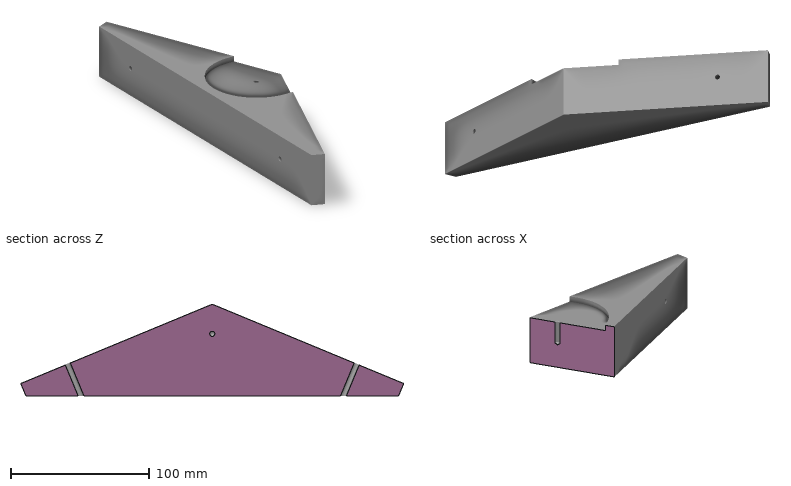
import cadquery as cq
import math

length = 277.2
depth = 66.5
height = 40.0

rear_angle = 22.5
slope = math.tan(math.radians(rear_angle))
half_length = length / 2
end_depth = depth - half_length * slope
front_half_length = half_length - end_depth * slope

recess_radius = 37.5
recess_center_y = 45.0
recess_depth = 4.2

pivot_diameter = 3.3
pivot_rim_diameter = 4.5
pivot_depth = 16.5
drill_tip_angle = 118.0
cross_diameter = 3.5
cross_front_x = 94.8
cross_z = 21.5


def make_body():
    outline = [
        (-front_half_length, 0),
        (front_half_length, 0),
        (half_length, end_depth),
        (0, depth),
        (-half_length, end_depth),
    ]
    return cq.Workplane("XY").polyline(outline).close().extrude(height)


def make_recess():
    return (
        cq.Workplane("XY", origin=(0, 0, height - recess_depth))
        .moveTo(-recess_radius, depth)
        .lineTo(-recess_radius, recess_center_y)
        .threePointArc((0, recess_center_y - recess_radius), (recess_radius, recess_center_y))
        .lineTo(recess_radius, depth)
        .close()
        .extrude(recess_depth)
    )


def make_pivot_hole():
    """Blind drilled hole in the recess floor, with a 45 degree bevelled rim and a conical tip."""
    radius = pivot_diameter / 2
    rim_radius = pivot_rim_diameter / 2
    tip_length = radius / math.tan(math.radians(drill_tip_angle / 2))
    half_section = [
        (0, 0),
        (rim_radius, 0),
        (radius, radius - rim_radius),
        (radius, -pivot_depth),
        (0, -pivot_depth - tip_length),
    ]
    return (
        cq.Workplane("XZ", origin=(0, recess_center_y, height - recess_depth))
        .polyline(half_section)
        .close()
        .revolve(360, (0, 0), (0, 1))
    )


def make_cross_hole(side):
    """Through hole square to the rear face on one side (-1 or 1)."""
    angle = math.radians(rear_angle)
    axis = cq.Vector(side * math.sin(angle), math.cos(angle), 0)
    front_point = cq.Vector(side * cross_front_x, 0, cross_z)
    start = front_point - axis * depth
    return cq.Solid.makeCylinder(cross_diameter / 2, 2 * depth, start, axis)


result = make_body().cut(make_recess()).cut(make_pivot_hole())
for side in (-1, 1):
    result = result.cut(make_cross_hole(side))